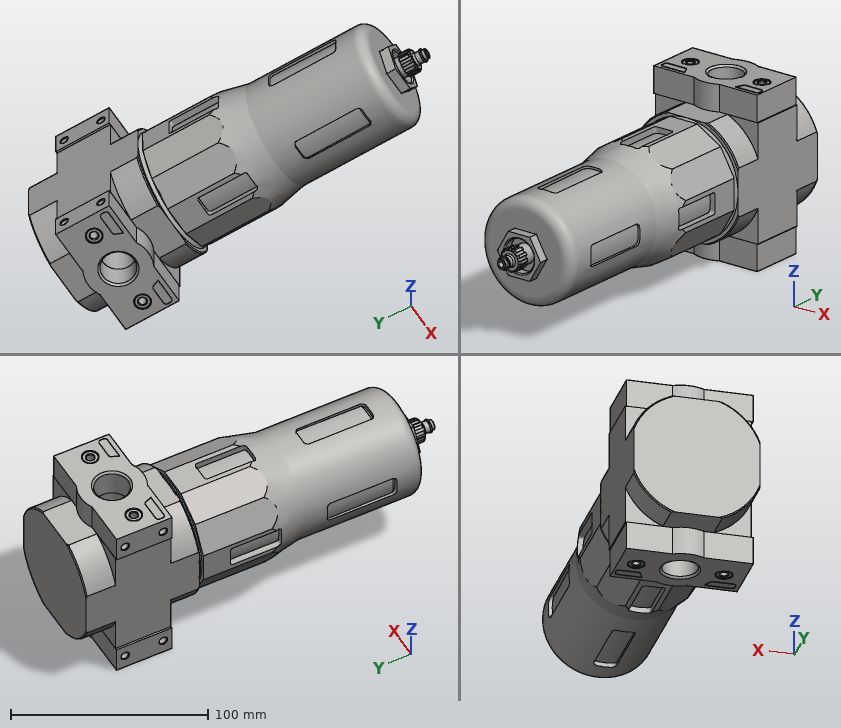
import cadquery as cq
import math


HOUSING_SIZE = 66.0
HALF_HOUSING = HOUSING_SIZE / 2
HOUSING_FLAT_WIDTH = 26.7
HOUSING_RADIUS = math.hypot(HALF_HOUSING, HOUSING_FLAT_WIDTH / 2)
HOUSING_END = -32.5
HOUSING_EDGE_CHAMFER = 0.6
CROSS_BLOCK_LENGTH = 32.0
NECK_DIAMETER = 62.0
NECK_START = -34.2

PORT_DIAMETER = 18.63
PORT_CHAMFER = 1.1

PLATE_X_MIN = -34.1
PLATE_X_MAX = 32.4
PLATE_THICKNESS = 15.0
PLATE_BULGE_RADIUS = 18.0
PLATE_TOP = HALF_HOUSING + PLATE_THICKNESS

SIDE_HOLE_OFFSET = 11.0
SIDE_HOLE_HEIGHT = 40.0
TAPPED_DIAMETER = 4.13
TAPPED_MOUTH_DIAMETER = 5.0
TAPPED_DEPTH = 8.0
DRILL_POINT_ANGLE = 118.0

LABEL_Y_MIN = -13.4
LABEL_Y_MAX = -8.6
LABEL_INNER_X = 16.5
LABEL_LEFT_LENGTH = 15.4
LABEL_RIGHT_LENGTH = 14.4
LABEL_SLANT = 2.0
LABEL_CORNER_RADIUS = 1.6
LABEL_DEPTH = 0.3

SCREW_OFFSET = 23.0
SCREW_HEAD_DIAMETER = 8.5
SCREW_HEAD_CHAMFER = 0.3
SCREW_HEAD_HEIGHT = 10.0
SCREW_SHANK_DIAMETER = 6.0
SCREW_SHANK_LENGTH = 15.0
SCREW_RECESS_DEPTH = 0.3
COUNTERBORE_DIAMETER = 9.0

GUARD_START = -35.0
FACET_COUNT = 12
FACET_APOTHEM = 32.5
FACET_CORNER_RADIUS = FACET_APOTHEM / math.cos(math.pi / FACET_COUNT)
FLARE_START = -74.7
FLARE_END = -94.6
GUARD_RADIUS = 29.3
GUARD_END = -165.0
GUARD_END_FILLET = 6.0

WINDOW_COUNT = 4
WINDOW_WIDTH = 12.0
UPPER_WINDOW = (-80.2, -50.7)
UPPER_WINDOW_CORNER_RADIUS = 1.5
LOWER_WINDOW = (-148.5, -108.3)
LOWER_WINDOW_CORNER_RADIUS = 2.5

BOWL_RADIUS = 29.4
BOWL_TAPER_START = -80.5
BOWL_TAPER_MID = -95.0
BOWL_MID_RADIUS = 28.2
BOWL_TAPER_END = -147.2
BOWL_END_RADIUS = 27.6
BOWL_BOTTOM = -157.0
BOWL_BOTTOM_RADIUS = 22.0
HEX_ACROSS_FLATS = 24.0
HEX_END = -170.3
HEX_BORE_DIAMETER = 18.63
HEX_BORE_CHAMFER = 0.7
HEX_BORE_FLOOR = GUARD_END

KNOB_NECK_DIAMETER = 11.2
KNOB_DIAMETER = 13.0
KNOB_START = -171.5
KNOB_CHAMFER_START = -177.1
KNOB_END = -178.0
KNOB_END_DIAMETER = 11.0
KNOB_TOOTH_COUNT = 12
KNOB_GROOVE_WIDTH = 1.7
SPOUT_START = -179.3
SPOUT_DIAMETER = 6.4
BARB_DIAMETER = 7.3
BARB_START = -182.0
BARB_END = -182.9
SPOUT_TIP_DIAMETER = 5.6
SPOUT_TIP_CHAMFER = 0.4
SPOUT_END = -185.0
DRAIN_HOLE_DIAMETER = 3.0
DRAIN_HOLE_DEPTH = 8.0


def turned(points):
    """Solid of revolution about Y from a list of (radius, y) corners."""
    return cq.Workplane("XY").polyline(points).close().revolve(360, (0, 0), (0, 1))


def box_between(x_range, y_range, z_range):
    sizes = [high - low for low, high in (x_range, y_range, z_range)]
    lows = [low for low, high in (x_range, y_range, z_range)]
    return cq.Workplane("XY").box(*sizes, centered=False).translate(tuple(lows))


def tapped_hole(depth):
    """Cutter for a blind hole along -Z from the origin, with a chamfered mouth and a drill point."""
    mouth = TAPPED_MOUTH_DIAMETER / 2
    radius = TAPPED_DIAMETER / 2
    point = radius / math.tan(math.radians(DRILL_POINT_ANGLE / 2))
    outline = [(0, 0), (mouth, 0), (radius, radius - mouth), (radius, -depth), (0, -depth - point)]
    return cq.Workplane("XZ").polyline(outline).close().revolve(360, (0, 0), (0, 1))


def make_housing():
    length = HALF_HOUSING - HOUSING_END
    barrel = cq.Workplane("XZ", origin=(0, HALF_HOUSING, 0)).circle(HOUSING_RADIUS).extrude(length)
    barrel = barrel.faces("<Y or >Y").chamfer(HOUSING_EDGE_CHAMFER)
    square = cq.Workplane("XY").box(HOUSING_SIZE, HOUSING_SIZE, HOUSING_SIZE)
    cross_block = cq.Workplane("XY").box(HOUSING_SIZE, CROSS_BLOCK_LENGTH, HOUSING_SIZE)
    body = barrel.intersect(square).union(cross_block)
    neck = turned([
        (0, 0),
        (HALF_HOUSING, 0),
        (HALF_HOUSING, HOUSING_END),
        (NECK_DIAMETER / 2, NECK_START),
        (NECK_DIAMETER / 2, GUARD_START),
        (0, GUARD_START),
    ])
    body = body.union(neck)
    body = body.cut(cq.Workplane("XY").circle(PORT_DIAMETER / 2).extrude(HOUSING_SIZE, both=True))
    shank_reach = SCREW_SHANK_LENGTH + SCREW_HEAD_HEIGHT + SCREW_RECESS_DEPTH
    for side in (1, -1):
        for x in (-SCREW_OFFSET, SCREW_OFFSET):
            hole = cq.Workplane("XY").circle(SCREW_SHANK_DIAMETER / 2).extrude(shank_reach)
            hole = hole.translate((x, 0, PLATE_TOP - shank_reach))
            if side < 0:
                hole = hole.mirror("XY")
            body = body.cut(hole)
    return body


def label_recess(sign, length):
    """Cutter for one label recess: a bar whose inner end slants."""
    inner = sign * LABEL_INNER_X
    slant = sign * (LABEL_INNER_X + LABEL_SLANT)
    outer = sign * (LABEL_INNER_X + length)
    outline = [(inner, LABEL_Y_MIN), (outer, LABEL_Y_MIN), (outer, LABEL_Y_MAX), (slant, LABEL_Y_MAX)]
    bar = cq.Workplane("XY").polyline(outline).close().extrude(LABEL_DEPTH)
    outer_edges = "|Z and <X" if sign < 0 else "|Z and >X"
    bar = bar.edges(outer_edges).fillet(LABEL_CORNER_RADIUS)
    slant_corner = cq.selectors.NearestToPointSelector((slant, LABEL_Y_MAX, LABEL_DEPTH / 2))
    bar = bar.edges("|Z").edges(slant_corner).fillet(LABEL_CORNER_RADIUS)
    return bar.translate((0, 0, PLATE_TOP - LABEL_DEPTH))


def make_plate():
    """Connection plate on the +Z side of the housing."""
    half = CROSS_BLOCK_LENGTH / 2
    plate = box_between((PLATE_X_MIN, PLATE_X_MAX), (-half, half), (HALF_HOUSING, PLATE_TOP))
    base = cq.Workplane("XY").workplane(offset=HALF_HOUSING)
    plate = plate.union(base.circle(PLATE_BULGE_RADIUS).extrude(PLATE_THICKNESS))
    plate = plate.cut(base.circle(PORT_DIAMETER / 2).extrude(PLATE_THICKNESS))
    mouth = plate.faces(">Z").edges(cq.selectors.RadiusNthSelector(0))
    plate = mouth.chamfer(PORT_CHAMFER)
    screw_holes = base.pushPoints([(-SCREW_OFFSET, 0), (SCREW_OFFSET, 0)])
    plate = plate.cut(screw_holes.circle(SCREW_SHANK_DIAMETER / 2).extrude(PLATE_THICKNESS))
    counterbore_depth = SCREW_HEAD_HEIGHT + SCREW_RECESS_DEPTH
    counterbores = screw_holes.circle(COUNTERBORE_DIAMETER / 2).extrude(counterbore_depth)
    plate = plate.cut(counterbores.translate((0, 0, PLATE_THICKNESS - counterbore_depth)))
    for y in (-SIDE_HOLE_OFFSET, SIDE_HOLE_OFFSET):
        hole = tapped_hole(TAPPED_DEPTH).rotate((0, 0, 0), (0, 1, 0), -90)
        plate = plate.cut(hole.translate((PLATE_X_MIN, y, SIDE_HOLE_HEIGHT)))
    plate = plate.cut(label_recess(-1, LABEL_LEFT_LENGTH))
    return plate.cut(label_recess(1, LABEL_RIGHT_LENGTH))


def make_screw(x):
    """Plate screw on the +Z side, with a tapped hole in its head."""
    head_top = PLATE_TOP - SCREW_RECESS_DEPTH
    head = cq.Workplane("XY").circle(SCREW_HEAD_DIAMETER / 2).extrude(-SCREW_HEAD_HEIGHT)
    head = head.faces(">Z").chamfer(SCREW_HEAD_CHAMFER)
    shank = cq.Workplane("XY").circle(SCREW_SHANK_DIAMETER / 2)
    shank = shank.extrude(-SCREW_HEAD_HEIGHT - SCREW_SHANK_LENGTH)
    screw = head.union(shank).cut(tapped_hole(TAPPED_DEPTH))
    return screw.translate((x, 0, head_top))


def window_cutters(y_range, corner_radius):
    """Rounded bars that pass through the guard wall on the four sides."""
    low, high = y_range
    reach = HOUSING_SIZE
    bar = box_between((-WINDOW_WIDTH / 2, WINDOW_WIDTH / 2), (low, high), (0, reach))
    bar = bar.edges("|Z").fillet(corner_radius)
    step = 360 / WINDOW_COUNT
    return [bar.rotate((0, 0, 0), (0, 1, 0), i * step) for i in range(WINDOW_COUNT)]


def make_guard(bowl):
    """Faceted sleeve that flares in to a round cup, hollowed to fit the bowl."""
    cup = (
        cq.Workplane("XY")
        .moveTo(0, GUARD_START)
        .lineTo(FACET_CORNER_RADIUS, GUARD_START)
        .lineTo(FACET_CORNER_RADIUS, FLARE_START)
        .lineTo(GUARD_RADIUS, FLARE_END)
        .lineTo(GUARD_RADIUS, GUARD_END)
        .lineTo(0, GUARD_END)
        .close()
        .revolve(360, (0, 0), (0, 1))
        .faces("<Y")
        .edges()
        .fillet(GUARD_END_FILLET)
    )
    facets = (
        cq.Workplane("XZ", origin=(0, GUARD_START, 0))
        .transformed(rotate=(0, 0, 180 / FACET_COUNT))
        .polygon(FACET_COUNT, 2 * FACET_CORNER_RADIUS)
        .extrude(GUARD_START - GUARD_END)
    )
    guard = cup.intersect(facets).cut(bowl)
    cutters = window_cutters(UPPER_WINDOW, UPPER_WINDOW_CORNER_RADIUS)
    cutters += window_cutters(LOWER_WINDOW, LOWER_WINDOW_CORNER_RADIUS)
    for cutter in cutters:
        guard = guard.cut(cutter.cut(bowl))
    return guard


def make_bowl_blank():
    """Tapered bowl with the hexagon that passes through the guard bottom, before boring."""
    body = turned([
        (0, GUARD_START),
        (BOWL_RADIUS, GUARD_START),
        (BOWL_RADIUS, BOWL_TAPER_START),
        (BOWL_MID_RADIUS, BOWL_TAPER_MID),
        (BOWL_END_RADIUS, BOWL_TAPER_END),
        (BOWL_BOTTOM_RADIUS, BOWL_BOTTOM),
        (0, BOWL_BOTTOM),
    ])
    hexagon = (
        cq.Workplane("XZ", origin=(0, BOWL_BOTTOM, 0))
        .polygon(6, HEX_ACROSS_FLATS / math.cos(math.pi / 6))
        .extrude(BOWL_BOTTOM - HEX_END)
    )
    return body.union(hexagon)


def bore_bowl(blank):
    radius = HEX_BORE_DIAMETER / 2
    mouth = radius + HEX_BORE_CHAMFER
    bore = turned([
        (0, HEX_END),
        (mouth, HEX_END),
        (radius, HEX_END + HEX_BORE_CHAMFER),
        (radius, HEX_BORE_FLOOR),
        (0, HEX_BORE_FLOOR),
    ])
    return blank.cut(bore)


def make_drain():
    """Knurled drain valve with a barbed spout."""
    valve = turned([
        (0, HEX_BORE_FLOOR),
        (KNOB_NECK_DIAMETER / 2, HEX_BORE_FLOOR),
        (KNOB_NECK_DIAMETER / 2, KNOB_START),
        (KNOB_DIAMETER / 2, KNOB_START),
        (KNOB_DIAMETER / 2, KNOB_CHAMFER_START),
        (KNOB_END_DIAMETER / 2, KNOB_END),
        (BARB_DIAMETER / 2, KNOB_END),
        (SPOUT_DIAMETER / 2, SPOUT_START),
        (SPOUT_DIAMETER / 2, BARB_START),
        (BARB_DIAMETER / 2, BARB_START),
        (BARB_DIAMETER / 2, BARB_END),
        (SPOUT_TIP_DIAMETER / 2, BARB_END),
        (SPOUT_TIP_DIAMETER / 2, SPOUT_END + SPOUT_TIP_CHAMFER),
        (SPOUT_TIP_DIAMETER / 2 - SPOUT_TIP_CHAMFER, SPOUT_END),
        (0, SPOUT_END),
    ])
    half_width = KNOB_GROOVE_WIDTH / 2
    groove = box_between(
        (KNOB_NECK_DIAMETER / 2, KNOB_DIAMETER),
        (KNOB_END, KNOB_START),
        (-half_width, half_width),
    )
    pitch = 360 / KNOB_TOOTH_COUNT
    for i in range(KNOB_TOOTH_COUNT):
        valve = valve.cut(groove.rotate((0, 0, 0), (0, 1, 0), (i + 0.5) * pitch))
    hole = cq.Workplane("XZ", origin=(0, SPOUT_END, 0)).circle(DRAIN_HOLE_DIAMETER / 2)
    return valve.cut(hole.extrude(-DRAIN_HOLE_DEPTH))


housing = make_housing()
upper_plate = make_plate()
plates = [upper_plate, upper_plate.mirror("XY")]
upper_screws = [make_screw(x) for x in (-SCREW_OFFSET, SCREW_OFFSET)]
screws = upper_screws + [screw.mirror("XY") for screw in upper_screws]
bowl_blank = make_bowl_blank()
guard = make_guard(bowl_blank)
bowl = bore_bowl(bowl_blank)
drain = make_drain()

bodies = [housing, *plates, *screws, guard, bowl, drain]
result = cq.Compound.makeCompound([body.val() for body in bodies])